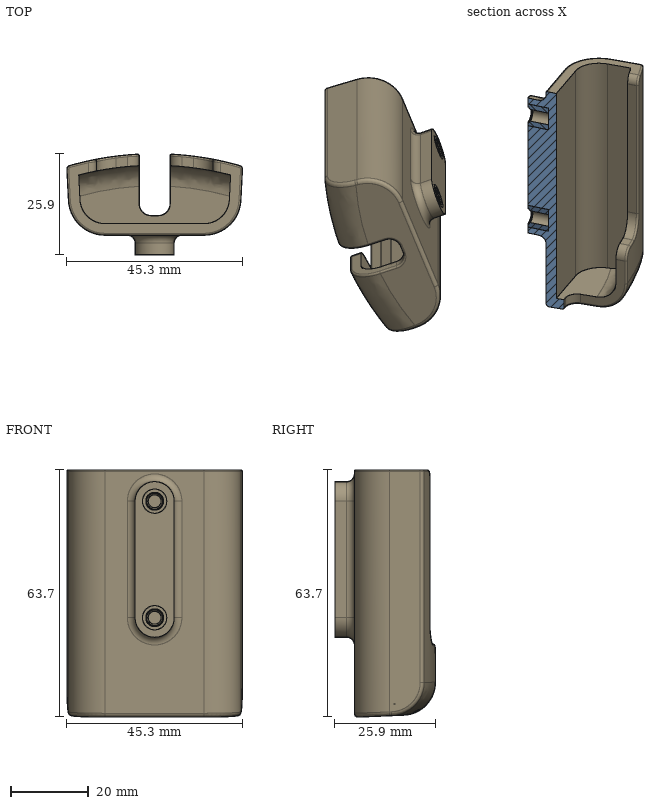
import cadquery as cq
import math

height = 63.65
wall = 3.0
flat_half_width = 12.75
corner_radius = 9.5
side_draft = 2.9
back_radius = 80.0
back_depth = 21.0
floor_front_z = -0.045
floor_slope = 2.5
heel_radius = 8.5
rim_radius = 0.5
edge_radius = 1.0

opening_half_width = 14.95
opening_lip_radius = 2.05
ledge_z = 18.85
ledge_corner_radius = 4.95
slot_half_width = 3.95
slot_entry_radius = 3.05
slot_front = 5.1
slot_end_radius = 3.0

boss_radius = 5.0
boss_height = 5.0
boss_foot_radius = 2.0
insert_spacing = 30.0
upper_insert_z = 55.6
insert_zs = [upper_insert_z, upper_insert_z - insert_spacing]
boss_middle_z = upper_insert_z - insert_spacing / 2

insert_radius = 3.1
insert_length = 5.7
bore_radius = 1.65
countersink_radius = 2.05
counterbore_radius = 2.3
counterbore_depth = 0.3


def round_chain(body, point, radius):
    """Round the edge nearest to a point and every edge that continues it smoothly."""
    return body.edges(cq.selectors.NearestToPointSelector(point)).fillet(radius)


def shell_block(inset):
    """Solid bounded by the outer faces of the shell, each moved inward by the inset."""
    draft = math.radians(side_draft)
    radius = corner_radius - inset
    bend_x = flat_half_width + radius * math.cos(draft)
    bend_y = corner_radius - radius * math.sin(draft)
    middle = math.radians(45 - side_draft / 2)
    arc_x = flat_half_width + radius * math.sin(middle)
    arc_y = corner_radius - radius * math.cos(middle)
    side_x = bend_x + (back_depth - bend_y) * math.tan(draft)
    outline = (
        cq.Workplane("XY", origin=(0, 0, floor_front_z))
        .moveTo(-flat_half_width, inset)
        .lineTo(flat_half_width, inset)
        .threePointArc((arc_x, arc_y), (bend_x, bend_y))
        .lineTo(side_x, back_depth)
        .lineTo(-side_x, back_depth)
        .lineTo(-bend_x, bend_y)
        .threePointArc((-arc_x, arc_y), (-flat_half_width, inset))
        .close()
        .extrude(height - floor_front_z)
    )
    bow = (
        cq.Workplane("XY", origin=(0, 0, floor_front_z))
        .center(0, back_depth - back_radius)
        .circle(back_radius - inset)
        .extrude(height - floor_front_z)
    )
    slope = math.radians(floor_slope)
    floor_z = floor_front_z + inset / math.cos(slope)
    above_floor = (
        cq.Workplane("YZ")
        .moveTo(0, floor_z)
        .lineTo(back_depth, floor_z + back_depth * math.tan(slope))
        .lineTo(back_depth, height)
        .lineTo(0, height)
        .close()
        .extrude(2 * side_x, both=True)
    )
    block = outline.intersect(bow).intersect(above_floor)
    return round_chain(block, (0, back_depth - inset, floor_z), heel_radius - inset)


def back_opening():
    """Window in the back, from the ledge up through the top, narrowing into the slot below."""
    half_opening = (
        cq.Workplane("XZ", origin=(0, back_depth, 0))
        .moveTo(0, height)
        .lineTo(opening_half_width + opening_lip_radius, height)
        .radiusArc((opening_half_width, height - opening_lip_radius), -opening_lip_radius)
        .lineTo(opening_half_width, ledge_z + ledge_corner_radius)
        .radiusArc((opening_half_width - ledge_corner_radius, ledge_z), ledge_corner_radius)
        .lineTo(slot_half_width + slot_entry_radius, ledge_z)
        .radiusArc((slot_half_width, ledge_z - slot_entry_radius), -slot_entry_radius)
        .lineTo(0, ledge_z - slot_entry_radius)
        .close()
        .extrude(back_depth / 2)
    )
    return half_opening.union(half_opening.mirror("YZ"))


def floor_slot():
    """Slot through the floor and the heel, rounded at its front end."""
    slot_length = back_depth - slot_front
    return (
        cq.Workplane("XY", origin=(0, 0, floor_front_z))
        .center(0, slot_front + slot_length / 2)
        .rect(2 * slot_half_width, slot_length)
        .extrude(ledge_z - slot_entry_radius - floor_front_z)
        .edges("|Z and <Y")
        .fillet(slot_end_radius)
    )


def mounting_boss():
    """Upright obround boss standing on the front face."""
    return (
        cq.Workplane("XZ", origin=(0, 0, boss_middle_z))
        .slot2D(insert_spacing + 2 * boss_radius, 2 * boss_radius, 90)
        .extrude(boss_height)
    )


def insert_blank(z):
    """Plain cylinder filled by one insert."""
    return (
        cq.Workplane("XZ", origin=(0, -boss_height, z))
        .circle(insert_radius)
        .extrude(-insert_length)
    )


def make_insert(z):
    """Insert with a through bore that opens out in a countersink and a shallow counterbore."""
    countersink_depth = countersink_radius - bore_radius
    bore_profile = [
        (0, 0),
        (counterbore_radius, 0),
        (counterbore_radius, counterbore_depth),
        (countersink_radius, counterbore_depth),
        (bore_radius, counterbore_depth + countersink_depth),
        (bore_radius, insert_length),
        (0, insert_length),
    ]
    bore = (
        cq.Workplane("XY", origin=(0, -boss_height, z))
        .polyline(bore_profile)
        .close()
        .revolve(360, (0, 0), (0, 1))
    )
    return insert_blank(z).cut(bore)


def make_holster():
    """Shell with its opening, slot and boss, and a blind hole for each insert."""
    body = shell_block(0).edges("|Z").edges(">Y").fillet(edge_radius)

    body = body.cut(back_opening()).cut(floor_slot())
    body = round_chain(body, (0, 0, height), rim_radius)

    body = body.cut(shell_block(wall))
    body = body.union(mounting_boss())
    body = round_chain(body, (boss_radius, 0, boss_middle_z), boss_foot_radius)
    for z in insert_zs:
        body = body.cut(insert_blank(z))
    return body


holster = make_holster()
inserts = [make_insert(z) for z in insert_zs]

result = cq.Compound.makeCompound([holster.val(), *[insert.val() for insert in inserts]])